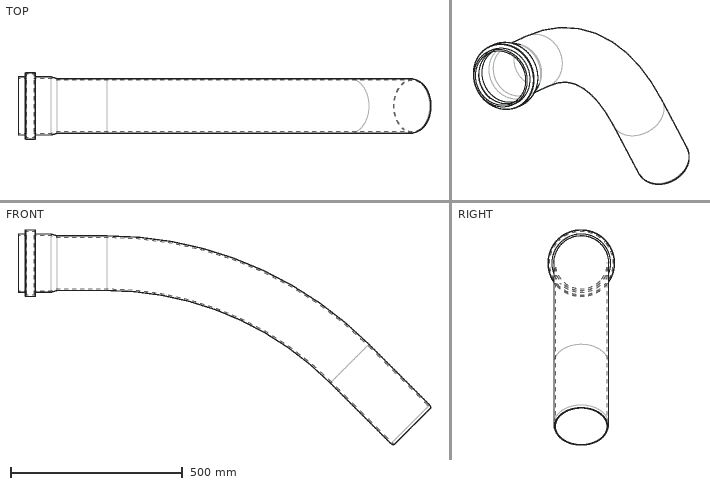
import cadquery as cq
import math

pipe_diameter = 160.0
bore_diameter = 150.0
bend_angle = 45
bend_radius = 998.0
spigot_length = 258.0

chamfer_length = 8.0
chamfer_depth = 2.0

socket_diameter = 170.0
socket_bore = 161.0
ring_diameter = 195.0
ring_groove_diameter = 185.0
ring_start = 19.0
ring_end = 50.0
ring_edge_length = 2.0
ring_edge_depth = 1.0
ring_edge_diameter = ring_diameter - 2 * ring_edge_depth
ring_wall = (ring_diameter - ring_groove_diameter) / 2
socket_end = 95.0
taper_end = 113.0
bend_start = 258.0


def revolve_about_x(stations):
    """Revolve (x, diameter) stations into a solid about the X axis."""
    rim = [(x, diameter / 2) for x, diameter in stations]
    outline = [(rim[0][0], 0), *rim, (rim[-1][0], 0)]
    return cq.Workplane("XY").polyline(outline).close().revolve(360, (0, 0), (1, 0))


def bend(diameter):
    """Sweep a round section downward about the bend centre."""
    return (
        cq.Workplane("YZ", origin=(bend_start, 0, 0))
        .circle(diameter / 2)
        .revolve(bend_angle, (0, -bend_radius), (1, -bend_radius))
    )


def place_after_bend(body):
    """Move a body from the X origin to the outlet of the bend."""
    angle = math.radians(bend_angle)
    outlet_x = bend_start + bend_radius * math.sin(angle)
    outlet_z = -bend_radius * (1 - math.cos(angle))
    return body.rotate((0, 0, 0), (0, 1, 0), bend_angle).translate((outlet_x, 0, outlet_z))


inlet_outside = revolve_about_x([
    (0, socket_diameter),
    (ring_start, socket_diameter),
    (ring_start, ring_edge_diameter),
    (ring_start + ring_edge_length, ring_diameter),
    (ring_end - ring_edge_length, ring_diameter),
    (ring_end, ring_edge_diameter),
    (ring_end, socket_diameter),
    (socket_end, socket_diameter),
    (taper_end, pipe_diameter),
    (bend_start, pipe_diameter),
])
inlet_inside = revolve_about_x([
    (0, socket_bore),
    (ring_start + ring_wall, socket_bore),
    (ring_start + ring_wall, ring_groove_diameter),
    (ring_end - ring_wall, ring_groove_diameter),
    (ring_end - ring_wall, socket_bore),
    (socket_end, socket_bore),
    (taper_end, bore_diameter),
    (bend_start, bore_diameter),
])
inlet = inlet_outside.cut(inlet_inside)

elbow = bend(pipe_diameter).cut(bend(bore_diameter))

spigot_outside = revolve_about_x([
    (0, pipe_diameter),
    (spigot_length - chamfer_length, pipe_diameter),
    (spigot_length, pipe_diameter - 2 * chamfer_depth),
])
spigot_inside = revolve_about_x([(0, bore_diameter), (spigot_length, bore_diameter)])
spigot = place_after_bend(spigot_outside.cut(spigot_inside))

result = inlet.union(elbow).union(spigot)